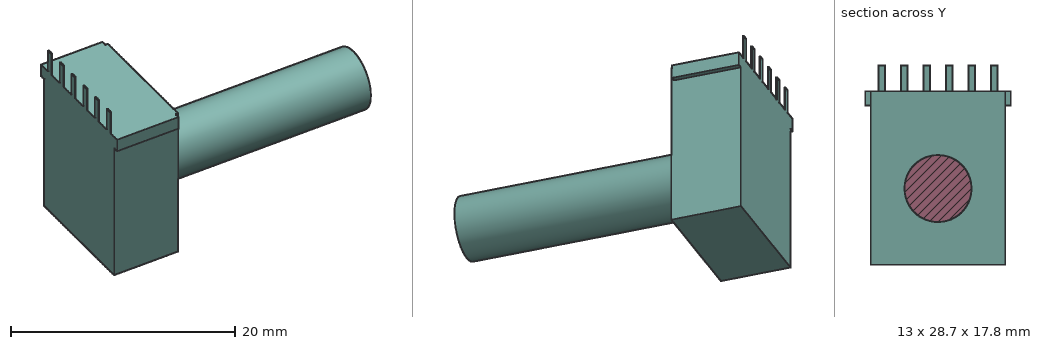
import cadquery as cq

total_length = 28.7
total_height = 17.8

body_width = 12.0
body_depth = 6.7
body_height = 15.5

ear_span = 13.0
ear_height = 1.3
ear_rear_setback = 0.25

shaft_diameter = 6.0
shaft_axis_height = 6.8
shaft_length = total_length - body_depth

pin_count = 6
pin_pitch = 2.0
pin_width = 0.6
pin_thickness = 0.11
pin_height = total_height - body_height


def box_on(width, depth, height, bottom, center_x=0):
    """Box whose front face lies at Y = 0, centred on center_x."""
    return (
        cq.Workplane("XY")
        .box(width, depth, height, centered=(True, False, False))
        .translate((center_x, 0, bottom))
    )


body = box_on(body_width, body_depth, body_height, 0)
ears = box_on(ear_span, body_depth - ear_rear_setback, ear_height, body_height - ear_height)

shaft = (
    cq.Workplane("XZ", origin=(0, body_depth, shaft_axis_height))
    .circle(shaft_diameter / 2)
    .extrude(-shaft_length)
)

result = body.union(ears).union(shaft)
for index in range(pin_count):
    pin_x = (index - (pin_count - 1) / 2) * pin_pitch
    result = result.union(box_on(pin_width, pin_thickness, pin_height, body_height, pin_x))